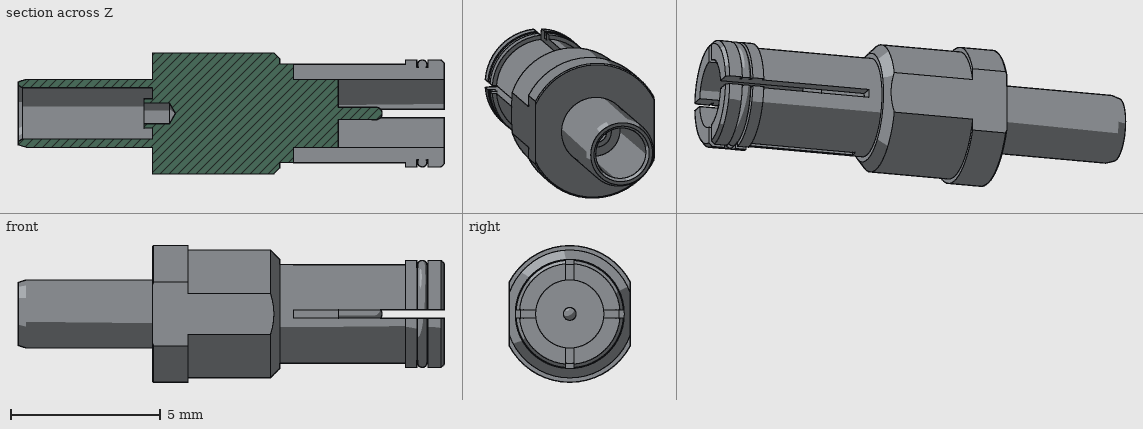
import cadquery as cq

total_length = 14.3
flange_start = 4.5
body_start = 5.7
body_end = 8.78
slot_start = 9.24
insulator_end = 10.74
pin_tip = 12.21
head_start = 12.98

tail_radius = 1.15
tail_chamfer_length = 0.27
tail_chamfer_depth = 0.09
tail_bore_radius = 0.86
tail_bore_chamfer_length = 0.15
tail_bore_chamfer_depth = 0.09

flange_diameter = 4.59
flange_radius = flange_diameter / 2
flange_chamfer = 0.05
body_radius = 2.15
body_chamfer = 0.31
across_flats = 4.06

socket_radius = 1.66
socket_bore_radius = 1.15
head_radius = 1.8
head_chamfer = 0.11
slot_width = 0.27

groove_start = 13.37
groove_width = 0.37
groove_depth = 0.25
ring_section_radius = 0.16

pin_radius = 0.21
solder_cup_radius = 0.5
solder_cup_length = 0.29
solder_hole_radius = 0.35
solder_hole_depth = 0.86
solder_hole_cone_depth = 0.2


def revolved(points):
    """Solid turned about the X axis from (x, radius) points that start and end on the axis."""
    return cq.Workplane("XY").polyline(points).close().revolve(360, (0, 0, 0), (1, 0, 0))


def cylinder(start, end, radius):
    """Cylinder on the X axis between two stations."""
    return cq.Workplane("YZ", origin=(start, 0, 0)).circle(radius).extrude(end - start)


def outer_body():
    """Turned outside shape, from the crimp tube to the head."""
    return revolved([
        (0, 0),
        (0, tail_radius - tail_chamfer_depth),
        (tail_chamfer_length, tail_radius),
        (flange_start, tail_radius),
        (flange_start, flange_radius - flange_chamfer),
        (flange_start + flange_chamfer, flange_radius),
        (body_start, flange_radius),
        (body_start, body_radius),
        (body_end - body_chamfer, body_radius),
        (body_end, body_radius - body_chamfer),
        (body_end, socket_radius),
        (head_start, socket_radius),
        (head_start, head_radius),
        (total_length - head_chamfer, head_radius),
        (total_length, head_radius - head_chamfer),
        (total_length, 0),
    ])


def flats_envelope():
    """Block that trims the flange and body to the two side flats."""
    return cq.Workplane("XY").box(
        total_length, across_flats, 2 * flange_radius, centered=(False, True, True)
    )


def tail_bore():
    """Crimp tube bore with a conical mouth."""
    return revolved([
        (0, 0),
        (0, tail_bore_radius + tail_bore_chamfer_depth),
        (tail_bore_chamfer_length, tail_bore_radius),
        (flange_start, tail_bore_radius),
        (flange_start, 0),
    ])


def ring_groove():
    """Square groove around the head."""
    groove_end = groove_start + groove_width
    return cylinder(groove_start, groove_end, head_radius).cut(
        cylinder(groove_start, groove_end, head_radius - groove_depth)
    )


def snap_ring():
    """Round-section ring seated in the groove, level with the head."""
    centre_x = groove_start + groove_width / 2
    centre_radius = head_radius - ring_section_radius
    section = cq.Workplane("XY").moveTo(centre_x, centre_radius).circle(ring_section_radius)
    return section.revolve(360, (0, 0, 0), (1, 0, 0))


def slot_box(size_y, size_z):
    """Block running from the slot start to the front end."""
    return cq.Workplane("XY", origin=(slot_start, 0, 0)).box(
        total_length - slot_start, size_y, size_z, centered=(False, True, True)
    )


def socket_slots():
    """Four slots through the socket wall, stopping on the insulator."""
    reach = 2 * flange_radius
    upright = slot_box(slot_width, reach)
    level = slot_box(reach, slot_width)
    return upright.union(level).cut(cylinder(slot_start, total_length, socket_bore_radius))


def contact_pin():
    """Front pin with a hemispherical tip."""
    shoulder = pin_tip - pin_radius
    pin = cylinder(insulator_end, shoulder, pin_radius)
    return pin.union(cq.Workplane("XY", origin=(shoulder, 0, 0)).sphere(pin_radius))


def solder_cup():
    """Rear end of the contact, standing out of the crimp bore floor."""
    return cylinder(flange_start - solder_cup_length, flange_start, solder_cup_radius)


def solder_hole():
    """Blind hole in the solder cup with a conical bottom."""
    cup_face = flange_start - solder_cup_length
    cone_start = cup_face + solder_hole_depth
    return revolved([
        (cup_face, 0),
        (cup_face, solder_hole_radius),
        (cone_start, solder_hole_radius),
        (cone_start + solder_hole_cone_depth, 0),
    ])


result = (
    outer_body()
    .intersect(flats_envelope())
    .cut(tail_bore())
    .cut(cylinder(insulator_end, total_length, socket_bore_radius))
    .cut(ring_groove())
    .union(snap_ring())
    .cut(socket_slots())
    .union(contact_pin())
    .union(solder_cup())
    .cut(solder_hole())
)